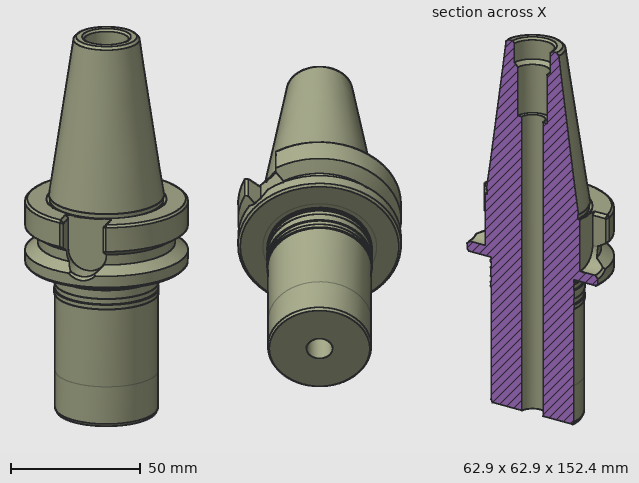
import cadquery as cq

TOTAL_HEIGHT = 152.4
NOSE_CHAMFER = 1.2
NOSE_SEAM_Z = 16.5
FLANGE_BOTTOM_Z = 60.0
FLANGE_TOP_Z = 86.3
TAPER_BASE_Z = 87.8
NECK_TOP_Z = 87.5

NOSE_RADIUS = 20.0
LAND_RADIUS = 20.3
LAND_CHAMFER = 0.3
LANDS = ((47.9, 50.1), (52.1, 56.1), (58.0, 59.3))

FLANGE_RADIUS = 31.47
FLANGE_CHAMFER = 0.9
V_GROOVE_RADIUS = 26.5
RELIEF_RADIUS = 23.2
RELIEF_DEPTH = 0.5
LOWER_RIM_TOP_Z = 65.5
V_FLOOR_BOTTOM_Z = 68.5
V_FLOOR_TOP_Z = 72.5
UPPER_RIM_BOTTOM_Z = 75.6

NECK_RADIUS = 22.0
TAPER_BASE_RADIUS = 22.3
TAPER_TOP_RADIUS = 12.8
TAPER_CHAMFER = 1.0

SLOT_HALF_WIDTH = 8.1
SLOT_FLOOR_Y = 22.9
SLOT_ARC_Z = 72.5
SLOT_CHAMFER = 1.2

THROUGH_RADIUS = 5.0
THREAD_RADIUS = 6.93
THREAD_DEPTH = 30.5
PILOT_RADIUS = 8.5
PILOT_DEPTH = 8.8
MOUTH_RADIUS = 9.5


def revolve(points):
    """Revolve a closed outline of (radius, z) points about the Z axis."""
    return cq.Workplane("XZ").polyline(points).close().revolve(360, (0, 0, 0), (0, 1, 0))


def ring_land(bottom, top):
    """Raised band around the nose with small chamfers on both edges."""
    return revolve([
        (0, bottom),
        (LAND_RADIUS - LAND_CHAMFER, bottom),
        (LAND_RADIUS, bottom + LAND_CHAMFER),
        (LAND_RADIUS, top - LAND_CHAMFER),
        (LAND_RADIUS - LAND_CHAMFER, top),
        (0, top),
    ])


def make_nose():
    lower = cq.Workplane("XY").circle(NOSE_RADIUS).extrude(NOSE_SEAM_Z)
    lower = lower.faces("<Z").chamfer(NOSE_CHAMFER, NOSE_CHAMFER / 2)
    upper = cq.Workplane("XY").workplane(offset=NOSE_SEAM_Z).circle(NOSE_RADIUS)
    nose = lower.union(upper.extrude(FLANGE_BOTTOM_Z - NOSE_SEAM_Z), clean=False)
    for bottom, top in LANDS:
        nose = nose.union(ring_land(bottom, top), clean=False)
    return nose


def make_flange():
    flange = revolve([
        (0, FLANGE_BOTTOM_Z),
        (FLANGE_RADIUS - FLANGE_CHAMFER, FLANGE_BOTTOM_Z),
        (FLANGE_RADIUS, FLANGE_BOTTOM_Z + FLANGE_CHAMFER),
        (FLANGE_RADIUS, LOWER_RIM_TOP_Z),
        (V_GROOVE_RADIUS, V_FLOOR_BOTTOM_Z),
        (V_GROOVE_RADIUS, V_FLOOR_TOP_Z),
        (FLANGE_RADIUS, UPPER_RIM_BOTTOM_Z),
        (FLANGE_RADIUS, FLANGE_TOP_Z - FLANGE_CHAMFER),
        (FLANGE_RADIUS - FLANGE_CHAMFER, FLANGE_TOP_Z),
        (RELIEF_RADIUS, FLANGE_TOP_Z),
        (RELIEF_RADIUS, FLANGE_TOP_Z - RELIEF_DEPTH),
        (0, FLANGE_TOP_Z - RELIEF_DEPTH),
    ])
    for side in (-1, 1):
        flange = flange.cut(drive_slot(side)).cut(lip_chamfer(side))
    return flange.edges(slot_rim_edges()).chamfer(SLOT_CHAMFER)


def slot_rim_edges():
    """Selector for the slot wall edges on the upper rim and the flange top."""
    margin = 0.2
    return cq.selectors.BoxSelector(
        (-SLOT_HALF_WIDTH - margin, -FLANGE_RADIUS, UPPER_RIM_BOTTOM_Z),
        (SLOT_HALF_WIDTH + margin, FLANGE_RADIUS, FLANGE_TOP_Z + margin),
    ) - cq.selectors.BoxSelector(
        (-SLOT_HALF_WIDTH + margin, -FLANGE_RADIUS, UPPER_RIM_BOTTOM_Z),
        (SLOT_HALF_WIDTH - margin, FLANGE_RADIUS, FLANGE_TOP_Z + margin),
    ) - cq.selectors.BoxSelector(
        (-FLANGE_RADIUS, -SLOT_FLOOR_Y - margin, 0),
        (FLANGE_RADIUS, SLOT_FLOOR_Y + margin, TOTAL_HEIGHT),
    )


def lip_chamfer(side):
    """Half cone that chamfers the round slot bottom where it meets the lower rim."""
    outer_y = side * FLANGE_RADIUS
    inner_y = side * (FLANGE_RADIUS - SLOT_CHAMFER)
    return (
        cq.Workplane("XY", origin=(0, 0, SLOT_ARC_Z))
        .polyline([
            (0, inner_y),
            (-SLOT_HALF_WIDTH, inner_y),
            (-SLOT_HALF_WIDTH - SLOT_CHAMFER, outer_y),
            (0, outer_y),
        ])
        .close()
        .revolve(180, (0, 0, 0), (0, -1, 0))
    )


def drive_slot(side):
    """Open round-bottomed slot in one side of the flange; side is -1 or 1 along Y."""
    depth = FLANGE_RADIUS - SLOT_FLOOR_Y
    return (
        cq.Workplane("XZ", origin=(0, side * SLOT_FLOOR_Y, 0))
        .moveTo(-SLOT_HALF_WIDTH, FLANGE_TOP_Z)
        .lineTo(-SLOT_HALF_WIDTH, SLOT_ARC_Z)
        .threePointArc((0, SLOT_ARC_Z - SLOT_HALF_WIDTH), (SLOT_HALF_WIDTH, SLOT_ARC_Z))
        .lineTo(SLOT_HALF_WIDTH, FLANGE_TOP_Z)
        .close()
        .extrude(-side * depth)
    )


def make_taper():
    return revolve([
        (0, FLANGE_BOTTOM_Z),
        (NECK_RADIUS, FLANGE_BOTTOM_Z),
        (NECK_RADIUS, NECK_TOP_Z),
        (TAPER_BASE_RADIUS, TAPER_BASE_Z),
        (TAPER_TOP_RADIUS, TOTAL_HEIGHT - TAPER_CHAMFER),
        (TAPER_TOP_RADIUS - TAPER_CHAMFER, TOTAL_HEIGHT),
        (0, TOTAL_HEIGHT),
    ])


def make_bore():
    pilot_floor = TOTAL_HEIGHT - PILOT_DEPTH
    thread_floor = TOTAL_HEIGHT - THREAD_DEPTH
    return revolve([
        (0, 0),
        (THROUGH_RADIUS, 0),
        (THROUGH_RADIUS, thread_floor),
        (THREAD_RADIUS, thread_floor),
        (THREAD_RADIUS, pilot_floor - (PILOT_RADIUS - THREAD_RADIUS)),
        (PILOT_RADIUS, pilot_floor),
        (PILOT_RADIUS, TOTAL_HEIGHT - (MOUTH_RADIUS - PILOT_RADIUS)),
        (MOUTH_RADIUS, TOTAL_HEIGHT),
        (0, TOTAL_HEIGHT),
    ])


result = make_nose().union(make_flange(), clean=False).union(make_taper(), clean=False)
result = result.cut(make_bore(), clean=False)